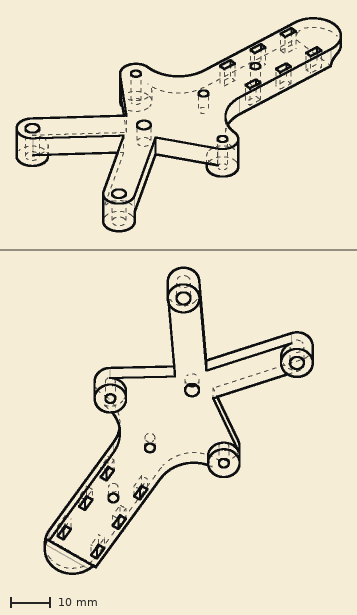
import cadquery as cq
import math

plate_thickness = 5.5
boss_height = 9.0
tip_thickness = 3.0

boss_spacing = 34.0
boss_radius = 4.0
boss_x = boss_spacing / 2
hub_y = 22.4

handle_half_width = 7.0
tip_y = 85.0
tip_center_y = tip_y - handle_half_width
flare_radius = boss_x - handle_half_width
shoulder_y = boss_spacing + boss_radius
flare_start_y = shoulder_y + flare_radius

hollow_radius = plate_thickness - tip_thickness

small_hole_diameter = 2.5
large_hole_diameter = 3.5
handle_hole_ys = (42.0, 59.0)
slot_width = 1.75
slot_length = 3.5
slot_x = 5.0
slot_first_y = 54.0
slot_pitch = 10.0
slot_rows = 3

boss_points = [(side * boss_x, y) for side in (-1, 1) for y in (0, boss_spacing)]


def make_handle_body():
    """Handle, flared shoulders and the web down to the hub."""
    flare_offset = flare_radius * math.sqrt(0.5)
    flare_mid_x = boss_x - flare_offset
    flare_mid_y = flare_start_y - flare_offset
    return (
        cq.Workplane("XY")
        .moveTo(0, hub_y)
        .lineTo(boss_x, boss_spacing)
        .lineTo(boss_x, shoulder_y)
        .threePointArc((flare_mid_x, flare_mid_y), (handle_half_width, flare_start_y))
        .lineTo(handle_half_width, tip_center_y)
        .threePointArc((0, tip_y), (-handle_half_width, tip_center_y))
        .lineTo(-handle_half_width, flare_start_y)
        .threePointArc((-flare_mid_x, flare_mid_y), (-boss_x, shoulder_y))
        .lineTo(-boss_x, boss_spacing)
        .close()
        .extrude(-plate_thickness)
    )


def make_arm(x, y):
    """Straight arm from the hub to the center of one boss."""
    run_y = y - hub_y
    return (
        cq.Workplane("XY")
        .rect(math.hypot(x, run_y), 2 * boss_radius)
        .extrude(-plate_thickness)
        .rotate((0, 0, 0), (0, 0, 1), math.degrees(math.atan2(run_y, x)))
        .translate((x / 2, (y + hub_y) / 2, 0))
    )


def make_tip_hollow():
    """Cutter that thins the tip from below, ending in a concave quarter round."""
    return (
        cq.Workplane("YZ")
        .moveTo(tip_center_y, -plate_thickness)
        .radiusArc((tip_center_y + hollow_radius, -tip_thickness), hollow_radius)
        .lineTo(tip_y, -tip_thickness)
        .lineTo(tip_y, -plate_thickness)
        .close()
        .extrude(handle_half_width, both=True)
    )


def make_holes(points, diameter):
    """Cutter for round holes running the full height of the part."""
    return cq.Workplane("XY").pushPoints(points).circle(diameter / 2).extrude(-boss_height)


def make_slots():
    """Cutter for the two columns of rectangular slots in the handle."""
    centers = [
        (side * slot_x, slot_first_y + row * slot_pitch)
        for side in (-1, 1)
        for row in range(slot_rows)
    ]
    return cq.Workplane("XY").pushPoints(centers).rect(slot_width, slot_length).extrude(-plate_thickness)


part = make_handle_body()
for boss_point in boss_points:
    part = part.union(make_arm(*boss_point))
bosses = cq.Workplane("XY").pushPoints(boss_points).circle(boss_radius).extrude(-boss_height)
part = part.union(bosses).cut(make_tip_hollow())

rear_boss_points = [point for point in boss_points if point[1] > 0]
front_boss_points = [point for point in boss_points if point[1] == 0]
small_hole_points = rear_boss_points + [(0, y) for y in handle_hole_ys]
large_hole_points = front_boss_points + [(0, hub_y)]
part = part.cut(make_holes(small_hole_points, small_hole_diameter))
part = part.cut(make_holes(large_hole_points, large_hole_diameter))
result = part.cut(make_slots())